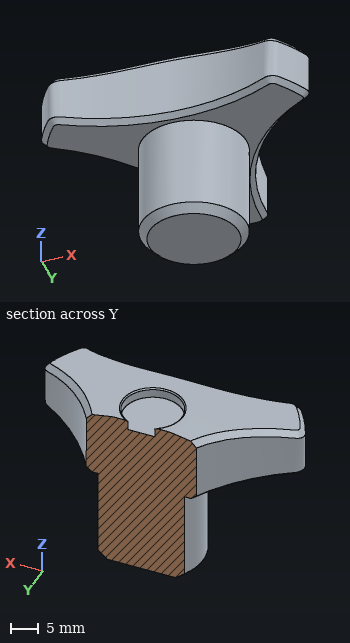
import cadquery as cq
import math

total_height = 33.0
hub_height = 19.0

hub_diameter = 20.0
hub_chamfer = 1.55

arm_count = 3
tip_radius = 27.5
scallop_radius = 40.0
waist_radius = 11.95
corner_radius = 2.0
edge_chamfer = 1.0

crown_flat_radius = 7.55
crown_edge_radius = 25.95
crown_drop = 4.15

recess_diameter = 11.5
recess_depth = 2.0
recess_chamfer = 0.25


def arm_outline_prism():
    """Disc scalloped between the arms, with rounded vertical corners."""
    head_height = total_height - hub_height
    prism = cq.Workplane("XY").workplane(offset=hub_height).circle(tip_radius).extrude(head_height)
    scallop_distance = waist_radius + scallop_radius
    for index in range(arm_count):
        angle = math.radians(-90 + index * 360 / arm_count)
        scallop = (
            cq.Workplane("XY")
            .center(scallop_distance * math.cos(angle), scallop_distance * math.sin(angle))
            .circle(scallop_radius)
            .extrude(total_height)
        )
        prism = prism.cut(scallop)
    return prism.edges("|Z").fillet(corner_radius)


def crown_envelope():
    """Solid of revolution: a cone with a flat centre, wider than the arms."""
    envelope_radius = tip_radius + corner_radius
    slope = crown_drop / (crown_edge_radius - crown_flat_radius)
    rim_height = total_height - slope * (envelope_radius - crown_flat_radius)
    return (
        cq.Workplane("XZ")
        .polyline([
            (0, 0),
            (envelope_radius, 0),
            (envelope_radius, rim_height),
            (crown_flat_radius, total_height),
            (0, total_height),
        ])
        .close()
        .revolve(360, (0, 0, 0), (0, 1, 0))
    )


def make_head():
    """Arms under the crown, chamfered around the bottom and the top."""
    head = arm_outline_prism().intersect(crown_envelope())
    crown = head.faces("%CONE").val()
    rim = [edge for edge in crown.Edges() if edge.BoundingBox().zmin < total_height - edge_chamfer]
    head = head.newObject(rim).chamfer(edge_chamfer)
    return head.faces("<Z").edges().chamfer(edge_chamfer)


def make_hub():
    """Plain cylinder chamfered at its base."""
    hub = cq.Workplane("XY").circle(hub_diameter / 2).extrude(hub_height)
    return hub.faces("<Z").chamfer(hub_chamfer)


def make_recess():
    """Blind round pocket with a chamfered mouth."""
    recess = (
        cq.Workplane("XY")
        .workplane(offset=total_height - recess_depth)
        .circle(recess_diameter / 2)
        .extrude(recess_depth)
    )
    mouth = cq.Solid.makeCone(
        recess_diameter / 2,
        recess_diameter / 2 + recess_chamfer,
        recess_chamfer,
        cq.Vector(0, 0, total_height - recess_chamfer),
    )
    return recess.union(cq.Workplane(mouth))


result = make_head().union(make_hub()).cut(make_recess())